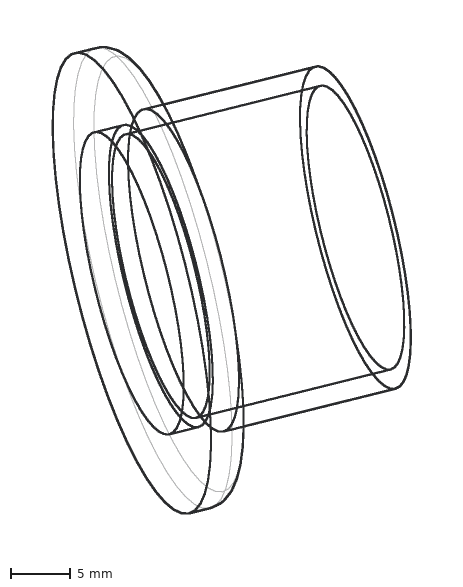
import cadquery as cq
import math

flange_radius = 20.0
total_length = 20.0

tube_radius = 14.0
bore_radius = 12.3
recess_radius = 13.1
recess_depth = 2.6

rim_width = 1.9
shoulder_radius = 1.5
cone_angle = math.radians(15)

shoulder_center_r = flange_radius - shoulder_radius


def shoulder_point(angle):
    """Point (radius, axial position) on the shoulder arc, angle measured from the axis."""
    return (
        shoulder_center_r + shoulder_radius * math.sin(angle),
        rim_width + shoulder_radius * math.cos(angle),
    )


cone_start = shoulder_point(cone_angle)
shoulder_middle = shoulder_point((cone_angle + math.pi / 2) / 2)
cone_end = cone_start[1] + (cone_start[0] - tube_radius) * math.tan(cone_angle)

result = (
    cq.Workplane("ZY")
    .moveTo(recess_radius, 0)
    .lineTo(flange_radius, 0)
    .lineTo(flange_radius, rim_width)
    .threePointArc(shoulder_middle, cone_start)
    .lineTo(tube_radius, cone_end)
    .lineTo(tube_radius, total_length)
    .lineTo(bore_radius, total_length)
    .lineTo(bore_radius, recess_depth)
    .lineTo(recess_radius, recess_depth)
    .close()
    .revolve(360, (0, 0, 0), (0, 1, 0))
)